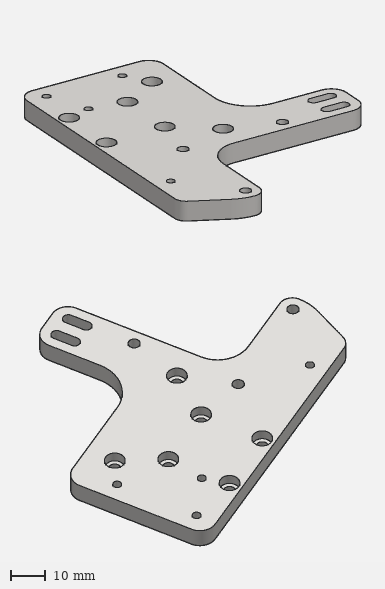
import cadquery as cq
import math

length = 94.8
height = 80.6
thickness = 6.4
body_top = 46.65
neck_left = 44.7
neck_right = 61.35
tail_top = 24.7

corner_radius = 5.0
left_inner_radius = 12.2
right_inner_radius = 10.05

tip_radius = 4.1
bend_radius = 15.6
foot_radius = 4.0
slant_slope = 2.0
slant_angle = math.atan(slant_slope)
tip_x = length - tip_radius
tip_y = tail_top - tip_radius
slant_top_x = length - bend_radius * (1 - math.sin(slant_angle))
slant_top_y = tip_y - bend_radius * math.cos(slant_angle)
slant_foot_x = slant_top_x - slant_top_y / slant_slope

screw_diameter = 3.5
screw_x = 56.9
screw_y = 20.2
tail_screw_x = 90.4
screw_points = [(screw_x, 54.2), (screw_x, screw_y), (tail_screw_x, screw_y)]
pin_diameter = 2.6
pin_x = 5.5
pin_points = [(pin_x, 32.3), (pin_x, 6.4), (19.2, 11.9), (73.3, 5.5)]

bore_diameter = 6.0
bore_depth = 3.3
square_pitch = 20.0
square_x = 21.2
square_y = 4.0
pair_pitch = 38.0
pair_x = 13.5
pair_y = 37.4

slot_width = 3.3
slot_length = 9.2
slot_y = 72.6
slot_xs = [49.4, 56.5]


def round_corner(plate, x, y, radius):
    """Fillet the upright edge that stands at (x, y)."""
    edge = cq.selectors.NearestToPointSelector((x, y, thickness / 2))
    return plate.edges("|Z").edges(edge).fillet(radius)


def make_plate():
    """L-shaped plate with a neck and a tapered tail."""
    plate = (
        cq.Workplane("XY")
        .lineTo(slant_foot_x, 0)
        .lineTo(slant_top_x, slant_top_y)
        .tangentArcPoint((length, tip_y), relative=False)
        .tangentArcPoint((tip_x, tail_top), relative=False)
        .lineTo(neck_right, tail_top)
        .lineTo(neck_right, height)
        .lineTo(neck_left, height)
        .lineTo(neck_left, body_top)
        .lineTo(0, body_top)
        .close()
        .extrude(thickness)
    )
    corners = [
        (0, 0, corner_radius),
        (0, body_top, corner_radius),
        (neck_left, height, corner_radius),
        (neck_right, height, corner_radius),
        (neck_left, body_top, left_inner_radius),
        (neck_right, tail_top, right_inner_radius),
        (slant_foot_x, 0, foot_radius),
    ]
    for x, y, radius in corners:
        plate = round_corner(plate, x, y, radius)
    return plate


def on_top(plate, points):
    """Workplane on the top face, in plate coordinates, with the points pushed."""
    return plate.faces(">Z").workplane(origin=(0, 0, thickness)).pushPoints(points)


def counterbore_points():
    square = [
        (square_x + column * square_pitch, square_y + row * square_pitch)
        for column in range(2)
        for row in range(2)
    ]
    pair = [(pair_x, pair_y), (pair_x + pair_pitch, pair_y)]
    return square + pair


result = make_plate()
result = on_top(result, screw_points).hole(screw_diameter)
result = on_top(result, pin_points).hole(pin_diameter)
result = on_top(result, counterbore_points()).cboreHole(screw_diameter, bore_diameter, bore_depth)
slot_points = [(x, slot_y) for x in slot_xs]
result = on_top(result, slot_points).slot2D(slot_length, slot_width, 90).cutThruAll()